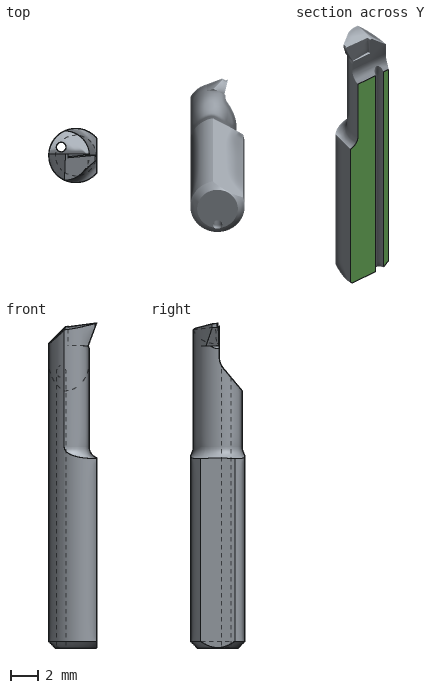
import cadquery as cq
import math

length = 24.0
shank_radius = 2.005
flat_x = 1.548
base_chamfer = 0.5

neck_axis_x = -0.82
neck_diameter = 3.62
neck_radius = neck_diameter / 2
neck_base_z = 14.83
neck_fillet = 0.85

rake_y = 0.12
ramp_angle = 40.0
ramp_corner_z = 21.0
ramp_fillet = 1.32

hole_diameter = 0.7
hole_x = -1.08
hole_y = 0.62

tip_x = flat_x
tip_y = 0.02
tooth_base_z = 22.3
tooth_root_x = 0.9
tooth_heel_x = 0.55
land_x = 1.42
land_front_y = -0.4
land_back_y = -0.07
undercut = 0.1
relief_angle = 7.0
bevel_relief_angle = 5.0
bevel_height = 24.48

groove_start_x = -0.58
groove_yaw = 5.5
groove_base_z = 22.32

margin = 4.8


def make_shank():
    shank = cq.Workplane("XY").circle(shank_radius).extrude(length + margin)
    shank = shank.faces("<Z").chamfer(base_chamfer)
    beyond_flat = cq.Workplane("XY").box(
        margin, 2 * margin, 2 * (length + margin), centered=(False, True, True)
    )
    return shank.cut(beyond_flat.translate((flat_x, 0, 0)))


def neck_cutter():
    """Ring around the neck with a rounded floor blending into the shank."""
    floor_z = neck_base_z - neck_fillet
    outer_radius = neck_radius + margin
    bend = neck_fillet * (1 - math.sqrt(0.5))
    return (
        cq.Workplane("XZ")
        .moveTo(neck_radius, length + margin)
        .lineTo(neck_radius, neck_base_z)
        .threePointArc(
            (neck_radius + bend, floor_z + bend),
            (neck_radius + neck_fillet, floor_z),
        )
        .lineTo(outer_radius, floor_z)
        .lineTo(outer_radius, length + margin)
        .close()
        .revolve(360, (0, 0, 0), (0, 1, 0))
        .translate((neck_axis_x, 0, 0))
    )


def make_tooth():
    """Triangular overhang that carries the cutting tip."""
    heel_y = -math.sqrt(neck_radius**2 - (tooth_heel_x - neck_axis_x) ** 2)
    outline = [
        (neck_axis_x, rake_y),
        (tip_x, rake_y),
        (tip_x, tip_y),
        (land_x, land_back_y),
        (land_x, land_front_y),
        (tooth_heel_x, heel_y),
        (neck_axis_x, heel_y),
    ]
    return (
        cq.Workplane("XY", origin=(0, 0, tooth_base_z))
        .polyline(outline)
        .close()
        .extrude(length + margin - tooth_base_z)
    )


def underside_cutter():
    """Sloping underside of the tooth and its small undercut into the neck."""
    neck_x = neck_axis_x + neck_radius
    outline = [
        (neck_x, tooth_base_z - 2 * undercut),
        (tooth_root_x, tooth_base_z),
        (tip_x, length),
        (tip_x, length + margin),
        (margin, length + margin),
        (margin, tooth_base_z - 2 * undercut),
    ]
    return cq.Workplane("XZ").polyline(outline).close().extrude(margin, both=True)


def half_cutter():
    """Removes the +Y half of the head and ramps out through the neck."""
    ramp_run = margin * math.tan(math.radians(ramp_angle))
    outline = [
        (rake_y, length + 2 * margin),
        (rake_y, ramp_corner_z),
        (rake_y + ramp_run, ramp_corner_z - margin),
        (rake_y + ramp_run, length + 2 * margin),
    ]
    cutter = cq.Workplane("YZ").polyline(outline).close().extrude(margin, both=True)
    corner = cq.selectors.NearestToPointSelector((0, rake_y, ramp_corner_z))
    return cutter.edges(corner).fillet(ramp_fillet)


def space_above_plane(origin, slope_x, slope_y):
    """Block above a plane that rises by the given slopes along X and Y."""
    plane = cq.Plane(origin=origin, xDir=(1, 0, slope_x), normal=(-slope_x, -slope_y, 1))
    return cq.Workplane(plane).rect(4 * margin, 4 * margin).extrude(2 * margin)


def end_relief_cutter():
    """Space above the end face, which falls away from the tip in -X and -Y."""
    slope = math.tan(math.radians(relief_angle))
    return space_above_plane((tip_x, tip_y, length), slope, slope)


def bevel_cutter():
    """Space above the 45 degree corner bevel, which falls slightly toward -Y."""
    slope_y = math.tan(math.radians(bevel_relief_angle))
    return space_above_plane((0, 0, bevel_height), 1, slope_y)


def groove_cutter():
    """Wedge leaning into the rake plane, deepest at its -X end."""
    outline = [
        (tip_y, length),
        (tip_y, length + margin),
        (rake_y + margin, length + margin),
        (rake_y + margin, groove_base_z),
        (rake_y, groove_base_z),
    ]
    return (
        cq.Workplane("YZ", origin=(groove_start_x, 0, 0))
        .polyline(outline)
        .close()
        .extrude(tip_x - groove_start_x + 0.25)
        .rotate((tip_x, tip_y, 0), (tip_x, tip_y, 1), groove_yaw)
    )


def coolant_hole():
    return cq.Workplane("XY").center(hole_x, hole_y).circle(hole_diameter / 2).extrude(length)


result = make_shank().cut(neck_cutter()).union(make_tooth())
result = result.cut(underside_cutter()).cut(half_cutter())
result = result.cut(bevel_cutter()).cut(end_relief_cutter())
result = result.cut(groove_cutter()).cut(coolant_hole())